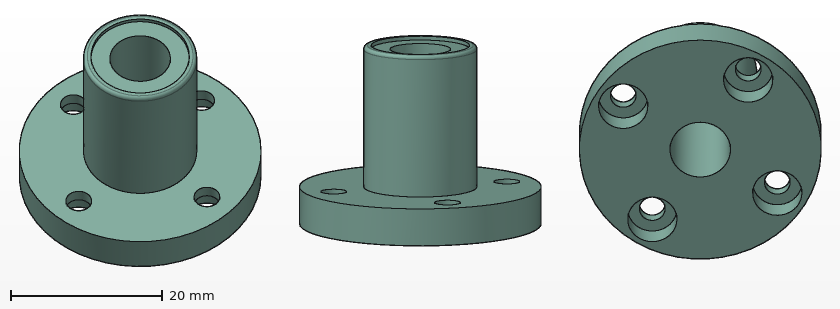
import cadquery as cq

flange_diameter = 32
flange_thickness = 5.0

total_height = 24
sleeve_diameter = 15.0
sleeve_edge_radius = 0.5
bore_diameter = 8

recess_diameter = 13.0
recess_depth = 0.5

screw_hole_count = 4
screw_circle_diameter = 24
screw_hole_diameter = 3.4
counterbore_diameter = 6.5
screw_seat_thickness = 1.7
counterbore_depth = flange_thickness - screw_seat_thickness


def cylinder(diameter, bottom, height):
    """Upright cylinder on the Z axis, starting at the height `bottom`."""
    return cq.Workplane("XY").workplane(offset=bottom).circle(diameter / 2).extrude(height)


def screw_hole_cylinders(diameter, height):
    """One upright cylinder from Z = 0 at each screw position, the first one on +X."""
    return (
        cq.Workplane("XY")
        .polarArray(screw_circle_diameter / 2, 0, 360, screw_hole_count)
        .circle(diameter / 2)
        .extrude(height)
    )


flange = cylinder(flange_diameter, 0, flange_thickness)
sleeve = cylinder(sleeve_diameter, 0, total_height).faces(">Z").edges().fillet(sleeve_edge_radius)
body = flange.union(sleeve)

body = body.cut(cylinder(bore_diameter, 0, total_height))
body = body.cut(cylinder(recess_diameter, total_height - recess_depth, recess_depth))

body = body.cut(screw_hole_cylinders(screw_hole_diameter, flange_thickness))
result = body.cut(screw_hole_cylinders(counterbore_diameter, counterbore_depth))